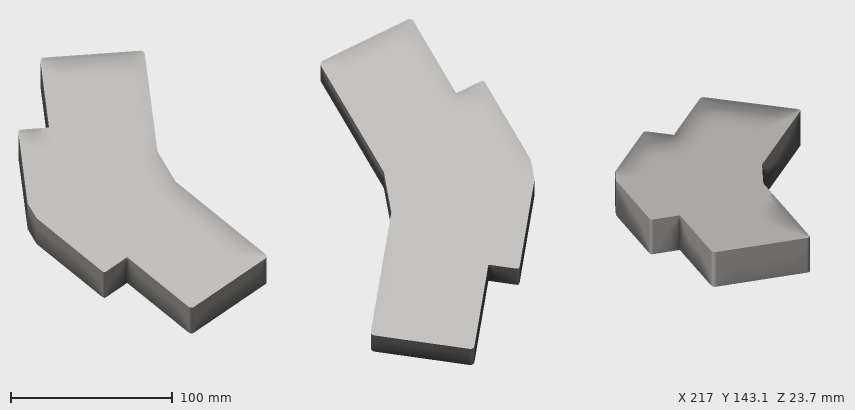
import cadquery as cq
import math

overall_length = 217.0
thickness = 23.7
bend_angle = 37.0
arm_width = 64.9
step_depth = 19.3
step_setback = 58.5
inner_bevel = 14.5
outer_bevel = 7.2
end_round_diameter = 5.0
step_round_diameter = 3.0

half_angle = bend_angle / 2
bend_cos = math.cos(math.radians(bend_angle))
bend_sin = math.sin(math.radians(bend_angle))
end_radius = end_round_diameter / 2

left_round_offset = (arm_width - end_radius) * bend_sin
arm_reach = (overall_length - left_round_offset - end_radius * (1 - bend_cos)) / (1 + bend_cos)

body_width = arm_width + step_depth
step_x = arm_reach - step_setback
outer_bend_x = -body_width * math.tan(math.radians(half_angle))


def bevel_middle(bend_x, bend_y, bevel):
    """Point where a bend's bevel crosses the symmetry plane."""
    angle = math.radians(half_angle)
    run = bevel * math.sin(angle)
    return bend_x + run * math.sin(angle), bend_y + run * math.cos(angle)


def round_corner(body, x, y, radius):
    """Round the vertical edge standing at (x, y)."""
    corner = cq.selectors.NearestToPointSelector((x, y, thickness / 2))
    return body.edges("|Z").edges(corner).fillet(radius)


def make_right_half():
    """Right arm and half of the middle body, up to the symmetry plane."""
    inner_x, inner_y = bevel_middle(0, 0, inner_bevel)
    outer_x, outer_y = bevel_middle(outer_bend_x, -body_width, outer_bevel)
    outline = [
        (inner_x, inner_y),
        (inner_bevel, 0),
        (arm_reach, 0),
        (arm_reach, -arm_width),
        (step_x, -arm_width),
        (step_x, -body_width),
        (outer_bend_x + outer_bevel, -body_width),
        (outer_x, outer_y),
    ]
    half = cq.Workplane("XY").polyline(outline).close().extrude(thickness)
    half = round_corner(half, arm_reach, 0, end_radius)
    half = round_corner(half, arm_reach, -arm_width, end_radius)
    return round_corner(half, step_x, -body_width, step_round_diameter / 2)


axis_start = (0, 0, 0)
axis_end = (0, 0, 1)
right_half = make_right_half().rotate(axis_start, axis_end, half_angle)
both_halves = right_half.union(right_half.mirror("YZ")).clean()
result = both_halves.rotate(axis_start, axis_end, -half_angle)